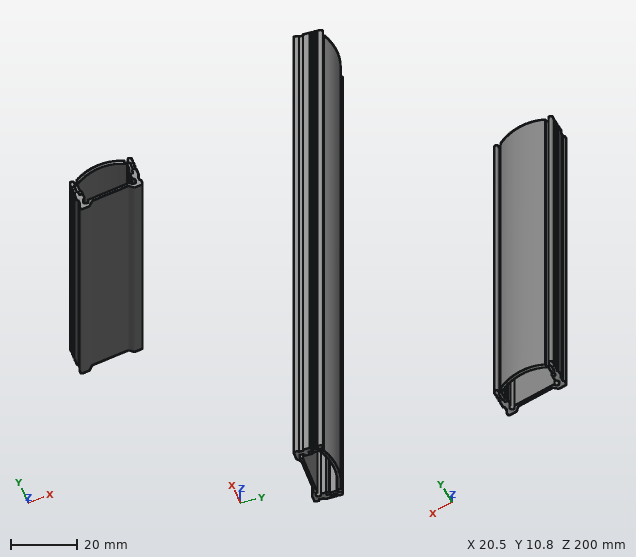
import cadquery as cq
import math


LENGTH = 200.0
WIDTH = 20.5
HEIGHT = 10.8
HALF_WIDTH = WIDTH / 2

WALL_HEIGHT = 9.2
LIP_THICKNESS = 1.5
LIP_INNER_X = HALF_WIDTH - LIP_THICKNESS
LIP_ROUND = LIP_THICKNESS / 2

LEDGE_HEIGHT = 4.5
LEDGE_INNER_X = 7.8

FLOOR_BOTTOM = 1.2
FLOOR_TOP = 2.0

FOOT_CORNER_ROUND = 0.5
FOOT_SLOPE_ANGLE = 41
FOOT_SLOPE_INNER_X = 6.0
FOOT_SLOPE_ROUND = 1.0
FOOT_SLOPE_OUTER_X = FOOT_SLOPE_INNER_X + FLOOR_BOTTOM / math.tan(math.radians(FOOT_SLOPE_ANGLE))

SIDE_GROOVE_DEPTH = 0.5
SIDE_GROOVE_BOTTOM = 1.5
SIDE_GROOVE_TOP = 3.0
SIDE_GROOVE_X = HALF_WIDTH - SIDE_GROOVE_DEPTH

RELIEF_RADIUS = 0.8

FLUTE_COUNT = 3
FLUTE_RADIUS = 0.25
FLUTE_PITCH = 1.0
FIRST_FLUTE_HEIGHT = 5.5

COVER_THICKNESS = 1.0
DOME_RADIUS = 18.0
DOME_CENTER_Y = HEIGHT - DOME_RADIUS
SNAP_DEPTH = 0.5
SNAP_OUTER_X = LIP_INNER_X + SNAP_DEPTH
SNAP_INNER_X = SNAP_OUTER_X - COVER_THICKNESS
SNAP_TOP = 7.5
SNAP_BOTTOM = 5.5
NECK_X = 7.8
NECK_HEIGHT = 8.5

SAME_POINT = 2e-06


def mirror_image(right_half):
    """The (x, y, ...) points reflected across X = 0, in reverse order."""
    return [(-x, *rest) for x, *rest in reversed(right_half)]


def both_sides(right_half):
    """The right-half points followed by their mirror image."""
    return right_half + mirror_image(right_half)


def rounded_prism(corners):
    """Extrude a closed polygon of (x, y, radius) corners; a radius of 0 leaves a corner sharp."""
    profile = cq.Workplane("XY")
    last_point = None
    count = len(corners)
    for i, (x, y, radius) in enumerate(corners):
        corner = cq.Vector(x, y)
        to_previous = (cq.Vector(*corners[i - 1][:2]) - corner).normalized()
        to_next = (cq.Vector(*corners[(i + 1) % count][:2]) - corner).normalized()
        half_angle = to_previous.getAngle(to_next) / 2
        setback = radius / math.tan(half_angle)
        start = corner + to_previous * setback
        if last_point is None:
            profile = profile.moveTo(start.x, start.y)
        elif (start - last_point).Length > SAME_POINT:
            profile = profile.lineTo(start.x, start.y)
        last_point = start
        if radius > 0:
            bisector = (to_previous + to_next).normalized()
            middle = corner + bisector * (radius / math.sin(half_angle) - radius)
            last_point = corner + to_next * setback
            profile = profile.threePointArc((middle.x, middle.y), (last_point.x, last_point.y))
    return profile.close().extrude(LENGTH)


def long_rods(centers, radius):
    """Full-length round rods at the given section points, used as cutting tools."""
    return cq.Workplane("XY").pushPoints(centers).circle(radius).extrude(LENGTH)


def dome_height(radius, x):
    """Height at x of a dome arc of the given radius about the shared dome centre."""
    return DOME_CENTER_Y + math.sqrt(radius**2 - x**2)


def make_cover():
    inner_radius = DOME_RADIUS - COVER_THICKNESS
    leg_outer_x = LIP_INNER_X
    leg_inner_x = leg_outer_x - COVER_THICKNESS
    jog_bottom = SNAP_BOTTOM - SNAP_DEPTH
    right_leg = [
        (NECK_X, dome_height(DOME_RADIUS, NECK_X)),
        (NECK_X, NECK_HEIGHT),
        (SNAP_OUTER_X, SNAP_TOP),
        (SNAP_OUTER_X, SNAP_BOTTOM),
        (leg_outer_x, jog_bottom),
        (leg_outer_x, LEDGE_HEIGHT),
        (leg_inner_x, LEDGE_HEIGHT),
        (leg_inner_x, jog_bottom),
        (SNAP_INNER_X, SNAP_BOTTOM),
        (SNAP_INNER_X, dome_height(inner_radius, SNAP_INNER_X)),
    ]
    left_leg = mirror_image(right_leg)
    return (
        cq.Workplane("XY")
        .polyline(right_leg)
        .threePointArc((0, HEIGHT - COVER_THICKNESS), left_leg[0])
        .polyline(left_leg[1:], includeCurrent=True)
        .threePointArc((0, HEIGHT), right_leg[0])
        .close()
        .extrude(LENGTH)
    )


def make_housing(cover):
    right_half = [
        (FOOT_SLOPE_INNER_X, FLOOR_BOTTOM, FOOT_SLOPE_ROUND),
        (FOOT_SLOPE_OUTER_X, 0, FOOT_SLOPE_ROUND),
        (HALF_WIDTH, 0, FOOT_CORNER_ROUND),
        (HALF_WIDTH, SIDE_GROOVE_BOTTOM, SIDE_GROOVE_DEPTH),
        (SIDE_GROOVE_X, SIDE_GROOVE_BOTTOM, 0),
        (SIDE_GROOVE_X, SIDE_GROOVE_TOP, 0),
        (HALF_WIDTH, SIDE_GROOVE_TOP, SIDE_GROOVE_DEPTH),
        (HALF_WIDTH, WALL_HEIGHT, LIP_ROUND),
        (LIP_INNER_X, WALL_HEIGHT, LIP_ROUND),
        (LIP_INNER_X, LEDGE_HEIGHT, 0),
        (LEDGE_INNER_X, LEDGE_HEIGHT, 0),
        (LEDGE_INNER_X, FLOOR_TOP, 0),
    ]
    housing = rounded_prism(both_sides(right_half))

    reliefs = [(LEDGE_INNER_X, FLOOR_TOP)]
    housing = housing.cut(long_rods(both_sides(reliefs), RELIEF_RADIUS))

    flutes = [(HALF_WIDTH, FIRST_FLUTE_HEIGHT + i * FLUTE_PITCH) for i in range(FLUTE_COUNT)]
    housing = housing.cut(long_rods(both_sides(flutes), FLUTE_RADIUS))

    return housing.cut(cover).solids()


cover = make_cover()
housing = make_housing(cover)

result = cq.Compound.makeCompound([housing.val(), cover.val()])